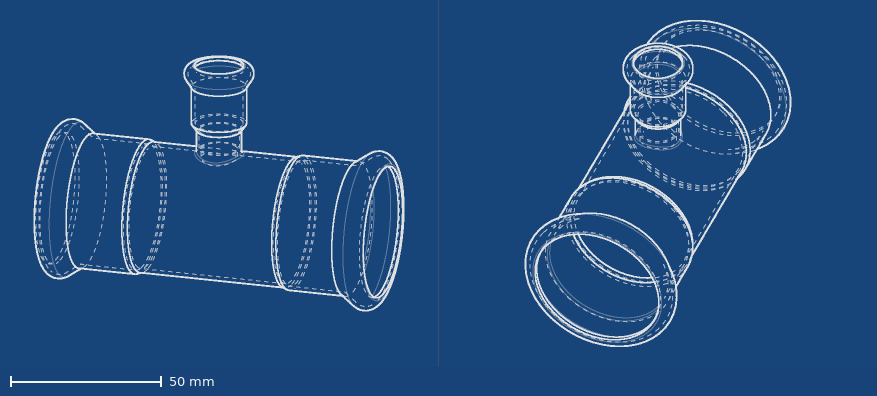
import cadquery as cq
import math

run_half_length = 57.0
branch_top = 52.7

run_wall = 1.5
run_tube_radius = 21.9
run_socket_radius = 22.6
run_bead_tip_radius = 26.7
run_bead_radius = 3.8
run_lip_radius = 22.0
run_flare_angle = 35.0
run_socket_depth = 30.2
run_step_length = 1.7
run_knee_radius = 2.0

branch_socket_wall = 1.3
branch_neck_wall = 0.8
branch_neck_radius = 7.5
branch_socket_radius = 9.2
branch_bead_tip_radius = 11.6
branch_bead_radius = 2.8
branch_lip_radius = 8.2
branch_flare_angle = 32.0
branch_socket_depth = 20.3
branch_step_length = 2.4
branch_knee_radius = 1.4

collar_top = 23.4
joint_fillet = 0.7

run_end_length = run_socket_depth + run_step_length
run_middle_length = 2 * (run_half_length - run_end_length)
branch_length = branch_top - collar_top


def end_solid(profile, bead_center, bead_radius, bead_depth, flare_angle,
              socket_radius, tube_radius, socket_depth, step_length, length, knee_radius=0):
    """Carry a profile round the bead, down the flare, socket and tube, and revolve it.

    A knee radius rounds the edge where the flare meets the socket.
    """
    angle = math.radians(flare_angle)
    tangent_radius = bead_center + bead_radius * math.cos(angle)
    tangent_depth = bead_depth + bead_radius * math.sin(angle)
    flare_depth = tangent_depth + (tangent_radius - socket_radius) / math.tan(angle)
    arc_middle_offset = bead_radius * math.sqrt(0.5)
    arc_middle = (bead_center + arc_middle_offset, arc_middle_offset - bead_depth)
    profile = (
        profile
        .lineTo(bead_center, bead_radius - bead_depth)
        .threePointArc(arc_middle, (tangent_radius, -tangent_depth))
        .lineTo(socket_radius, -flare_depth)
        .lineTo(socket_radius, -socket_depth)
        .lineTo(tube_radius, -socket_depth - step_length)
    )
    if length > socket_depth + step_length:
        profile = profile.lineTo(tube_radius, -length)
    solid = profile.lineTo(0, -length).close().revolve(360, (0, 0, 0), (0, 1, 0))
    if knee_radius > 0:
        half_height = knee_radius / 4
        knee_zone = cq.selectors.BoxSelector(
            (-socket_radius, -socket_radius, -flare_depth - half_height),
            (socket_radius, socket_radius, -flare_depth + half_height),
        )
        solid = solid.edges("%CIRCLE").edges(knee_zone).fillet(knee_radius)
    return solid


def pipe_end(tip_radius, bead_radius, lip_radius, flare_angle, socket_radius, tube_radius,
             socket_depth, step_length, length, knee_radius, socket_wall, tube_wall):
    """Outer body and bore of one pipe end: mouth at z = 0, running down to z = -length."""
    bead_center = tip_radius - bead_radius
    body = end_solid(
        cq.Workplane("XZ"), bead_center, bead_radius, bead_radius, flare_angle,
        socket_radius, tube_radius, socket_depth, step_length, length,
    )
    mouth = cq.Workplane("XZ").lineTo(lip_radius, 0).lineTo(lip_radius, -socket_wall)
    bore = end_solid(
        mouth, bead_center, bead_radius - socket_wall, bead_radius, flare_angle,
        socket_radius - socket_wall, tube_radius - tube_wall, socket_depth, step_length, length,
        knee_radius,
    )
    return body, bore


def run_between_ends(end, middle_radius):
    """Set a pipe end at each end of a straight cylinder along X."""
    left = end.rotate((0, 0, 0), (0, 1, 0), -90).translate((-run_half_length, 0, 0))
    middle = cq.Workplane("YZ").circle(middle_radius).extrude(run_middle_length / 2, both=True)
    return middle.union(left).union(left.mirror("YZ"))


def collar_cylinder(radius):
    return cq.Workplane("XY").circle(radius).extrude(collar_top)


run_end_body, run_end_bore = pipe_end(
    run_bead_tip_radius, run_bead_radius, run_lip_radius, run_flare_angle,
    run_socket_radius, run_tube_radius, run_socket_depth, run_step_length,
    run_end_length, run_knee_radius, run_wall, run_wall,
)
run_body = run_between_ends(run_end_body, run_tube_radius)
run_bore = run_between_ends(run_end_bore, run_tube_radius - run_wall)

branch_body, branch_bore = (
    part.translate((0, 0, branch_top))
    for part in pipe_end(
        branch_bead_tip_radius, branch_bead_radius, branch_lip_radius, branch_flare_angle,
        branch_socket_radius, branch_neck_radius, branch_socket_depth, branch_step_length,
        branch_length, branch_knee_radius, branch_socket_wall, branch_neck_wall,
    )
)

body = run_body.union(collar_cylinder(branch_neck_radius))
saddle_zone = cq.selectors.BoxSelector(
    (-branch_socket_radius, -branch_socket_radius, run_tube_radius - 2 * run_wall),
    (branch_socket_radius, branch_socket_radius, (run_tube_radius + collar_top) / 2),
)
body = body.edges(saddle_zone).fillet(joint_fillet)

body = body.union(branch_body)
collar_bore = collar_cylinder(branch_neck_radius - run_wall)
result = body.cut(run_bore).cut(branch_bore).cut(collar_bore)